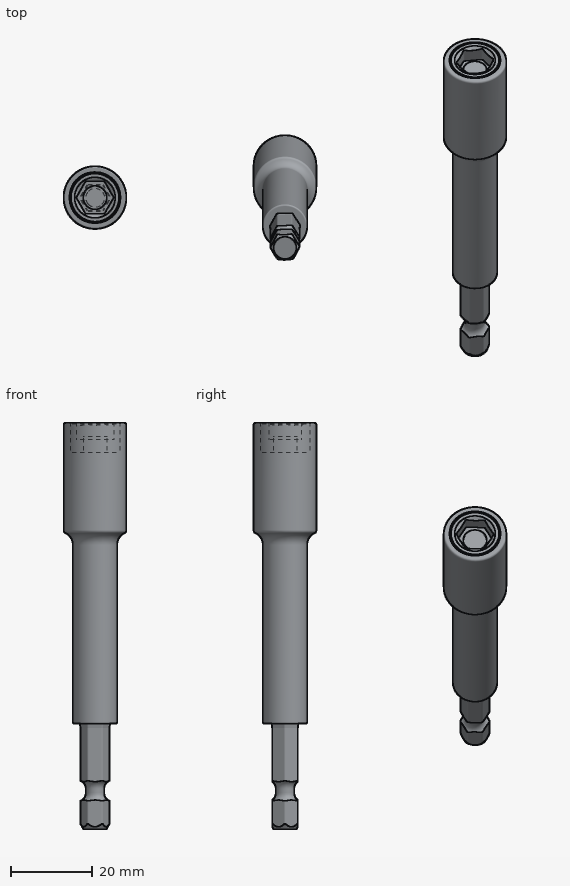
import cadquery as cq
import math

LENGTH = 100.0

SHANK_FLATS = 6.35
SHANK_EDGE_ROUND = 0.5
SHANK_TOP_Z = 26.0
SHANK_FLARE_HEIGHT = 1.1
SHANK_FLARE_WIDTH = 0.15
TIP_RADIUS = 2.8
TIP_CHAMFER_SLOPE = math.tan(math.radians(60))

GROOVE_MID_Z = 9.5
GROOVE_RADIUS = 2.3
GROOVE_FLOOR_LENGTH = 1.2
GROOVE_ARC_RADIUS = 2.0

BODY_RADIUS = 5.5
BODY_END_FILLET = 0.4
HEAD_RADIUS = 7.75
HOLLOW_BOTTOM_Z = 70.1
HOLLOW_RADIUS = 3.0
SHOULDER_RADIUS = 0.8
MOUTH_FILLET = 0.5

INSERT_RADIUS = 6.1
SEAT_CHAMFER = 0.2
SOCKET_FLATS = 8.0
SOCKET_EDGE_ROUND = 0.4
SOCKET_DEPTH = 4.0
SOCKET_LEAD_IN_RADIUS = 5.0
SOCKET_LEAD_IN_SLOPE = math.tan(math.radians(30))

MAGNET_RADIUS = 2.9
MAGNET_LENGTH = 4.0
MAGNET_RISE = 0.7

SOCKET_FLOOR_Z = LENGTH - SOCKET_DEPTH
MAGNET_BOTTOM_Z = SOCKET_FLOOR_Z + MAGNET_RISE - MAGNET_LENGTH


def cylinder(radius, bottom_z, top_z):
    return cq.Workplane("XY").workplane(offset=bottom_z).circle(radius).extrude(top_z - bottom_z)


def hex_prism(flats, bottom_z, top_z):
    """Hexagonal prism with two corners on the X axis."""
    across_corners = flats / math.cos(math.pi / 6)
    return (
        cq.Workplane("XY")
        .workplane(offset=bottom_z)
        .polygon(6, across_corners)
        .extrude(top_z - bottom_z)
    )


def revolve_profile(profile):
    """Turn a closed (radius, Z) profile drawn on XZ around the Z axis."""
    return profile.close().revolve(360, (0, 0, 0), (0, 1, 0))


def make_round_body():
    """Body and head, joined by a hollow arc that runs tangent into a rounded shoulder."""
    hollow_center_radius = BODY_RADIUS + HOLLOW_RADIUS
    shoulder_center_radius = HEAD_RADIUS - SHOULDER_RADIUS
    center_gap = HOLLOW_RADIUS + SHOULDER_RADIUS
    center_step = hollow_center_radius - shoulder_center_radius
    center_rise = math.sqrt(center_gap**2 - center_step**2)
    hollow_share = HOLLOW_RADIUS / center_gap
    touch_point = (
        hollow_center_radius - center_step * hollow_share,
        HOLLOW_BOTTOM_Z + center_rise * hollow_share,
    )
    shoulder_top_z = HOLLOW_BOTTOM_Z + center_rise

    body = revolve_profile(
        cq.Workplane("XZ")
        .moveTo(0, SHANK_TOP_Z)
        .lineTo(BODY_RADIUS, SHANK_TOP_Z)
        .lineTo(BODY_RADIUS, HOLLOW_BOTTOM_Z)
        .radiusArc(touch_point, HOLLOW_RADIUS)
        .radiusArc((HEAD_RADIUS, shoulder_top_z), -SHOULDER_RADIUS)
        .lineTo(HEAD_RADIUS, LENGTH)
        .lineTo(0, LENGTH)
    )
    body = body.faces(">Z").edges().fillet(MOUTH_FILLET)
    return body.faces("<Z").edges().fillet(BODY_END_FILLET)


def make_shank():
    """Hex shank with rounded edges and a conical chamfer at its tip."""
    shank = hex_prism(SHANK_FLATS, 0, SHANK_TOP_Z).edges("|Z").fillet(SHANK_EDGE_ROUND)
    cone_top_radius = TIP_RADIUS + SHANK_TOP_Z / TIP_CHAMFER_SLOPE
    tip_cone = revolve_profile(
        cq.Workplane("XZ")
        .lineTo(TIP_RADIUS, 0)
        .lineTo(cone_top_radius, SHANK_TOP_Z)
        .lineTo(0, SHANK_TOP_Z)
    )
    return shank.intersect(tip_cone)


def make_groove_cutter():
    """Ring whose inner side is the groove floor with a quarter arc above and below it."""
    floor_top_z = GROOVE_MID_Z + GROOVE_FLOOR_LENGTH / 2
    floor_bottom_z = GROOVE_MID_Z - GROOVE_FLOOR_LENGTH / 2
    rim_radius = GROOVE_RADIUS + GROOVE_ARC_RADIUS
    return revolve_profile(
        cq.Workplane("XZ")
        .moveTo(rim_radius, floor_bottom_z - GROOVE_ARC_RADIUS)
        .radiusArc((GROOVE_RADIUS, floor_bottom_z), GROOVE_ARC_RADIUS)
        .lineTo(GROOVE_RADIUS, floor_top_z)
        .radiusArc((rim_radius, floor_top_z + GROOVE_ARC_RADIUS), GROOVE_ARC_RADIUS)
    )


def make_root_selector():
    """Picks the edges where the hex shank meets the end of the round body."""
    reach = (SHANK_FLATS / 2 + BODY_RADIUS) / 2
    margin = 0.1
    return cq.selectors.BoxSelector(
        (-reach, -reach, SHANK_TOP_Z - margin),
        (reach, reach, SHANK_TOP_Z + margin),
        boundingbox=True,
    )


def make_mouth_cone():
    """Cone that chamfers the edge of the insert bore by SEAT_CHAMFER."""
    widest_radius = INSERT_RADIUS + SEAT_CHAMFER
    return revolve_profile(
        cq.Workplane("XZ")
        .moveTo(0, LENGTH)
        .lineTo(widest_radius, LENGTH)
        .lineTo(0, LENGTH - widest_radius)
    )


def make_driver():
    """Shank, round body and head in one piece, bored for the insert."""
    driver = make_round_body().union(make_shank())
    driver = driver.edges(make_root_selector()).chamfer(SHANK_FLARE_WIDTH, SHANK_FLARE_HEIGHT)
    driver = driver.cut(make_groove_cutter())
    driver = driver.cut(cylinder(INSERT_RADIUS, MAGNET_BOTTOM_Z, LENGTH))
    return driver.cut(make_mouth_cone())


def make_lead_in():
    """Shallow cone that opens the mouth of the hex socket."""
    lead_in_depth = SOCKET_LEAD_IN_RADIUS * SOCKET_LEAD_IN_SLOPE
    return revolve_profile(
        cq.Workplane("XZ")
        .moveTo(0, LENGTH)
        .lineTo(SOCKET_LEAD_IN_RADIUS, LENGTH)
        .lineTo(0, LENGTH - lead_in_depth)
    )


def make_insert():
    """Plug with a hex socket in its top and a hole for the magnet below."""
    insert = cylinder(INSERT_RADIUS, MAGNET_BOTTOM_Z, LENGTH).faces(">Z").chamfer(SEAT_CHAMFER)
    socket = hex_prism(SOCKET_FLATS, SOCKET_FLOOR_Z, LENGTH).edges("|Z").fillet(SOCKET_EDGE_ROUND)
    magnet_hole = cylinder(MAGNET_RADIUS, MAGNET_BOTTOM_Z, SOCKET_FLOOR_Z)
    return insert.cut(socket).cut(make_lead_in()).cut(magnet_hole)


def make_magnet():
    """Round magnet in the hole of the insert."""
    return cylinder(MAGNET_RADIUS, MAGNET_BOTTOM_Z, MAGNET_BOTTOM_Z + MAGNET_LENGTH)


driver = make_driver()
insert = make_insert()
magnet = make_magnet()
result = cq.Compound.makeCompound([driver.val(), insert.val(), magnet.val()])